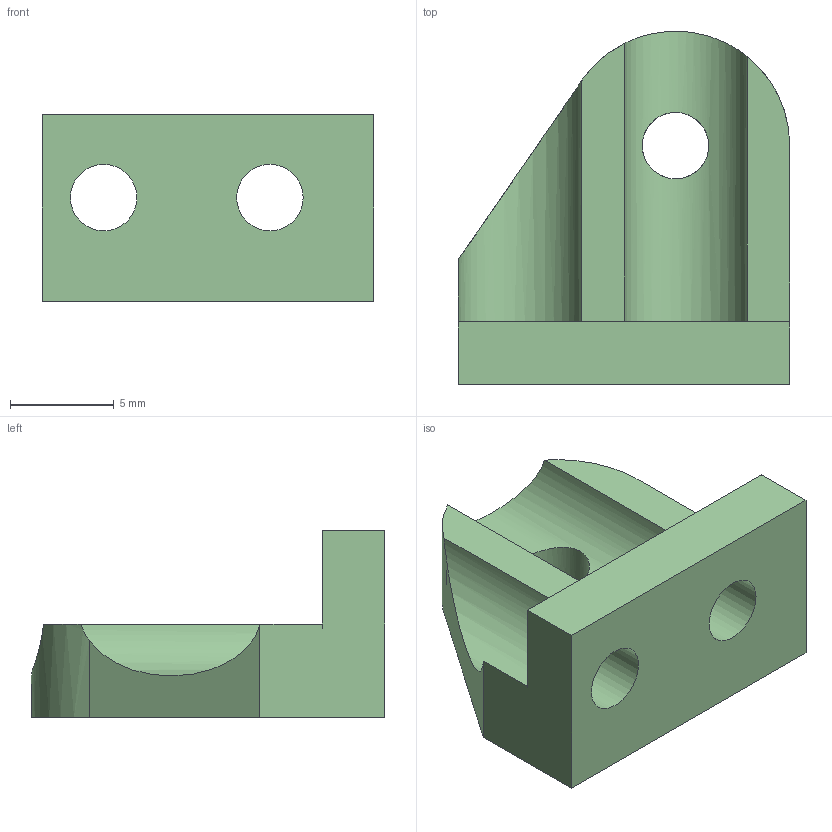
import cadquery as cq
import math

groove_radius = 3.0
groove_axis_z = 5.0
groove_axes_x = (0.0, 8.0)
hole_diameter = 3.2

base_height = 4.5
right_x = 13.0
corner_radius = 5.5
corner_x = right_x - corner_radius
corner_y = 11.5
left_side_length = 6.0
slant_end_y = 14.2

left_x = groove_axes_x[0] - math.sqrt(groove_radius**2 - (groove_axis_z - base_height) ** 2)

plate_thickness = 3.0
plate_height = 9.0


def make_base():
    slant_end_x = corner_x - math.sqrt(corner_radius**2 - (slant_end_y - corner_y) ** 2)
    return (
        cq.Workplane("XY")
        .moveTo(left_x, 0)
        .lineTo(right_x, 0)
        .lineTo(right_x, corner_y)
        .threePointArc((corner_x, corner_y + corner_radius), (slant_end_x, slant_end_y))
        .lineTo(left_x, left_side_length)
        .close()
        .extrude(base_height)
    )


def make_plate():
    return (
        cq.Workplane("XY")
        .box(right_x - left_x, plate_thickness, plate_height, centered=False)
        .translate((left_x, 0, 0))
    )


def cylinder_along_y(x, radius, start_y, end_y):
    return cq.Workplane("XZ", origin=(x, start_y, groove_axis_z)).circle(radius).extrude(start_y - end_y)


def make_base_hole():
    return (
        cq.Workplane("XY")
        .center(corner_x, corner_y)
        .circle(hole_diameter / 2)
        .extrude(base_height)
    )


def cut_grooves_and_plate_holes(body):
    back_y = corner_y + corner_radius
    for axis_x in groove_axes_x:
        body = body.cut(cylinder_along_y(axis_x, groove_radius, plate_thickness, back_y))
        body = body.cut(cylinder_along_y(axis_x, hole_diameter / 2, 0, plate_thickness))
    return body


body = make_base().union(make_plate()).cut(make_base_hole())
result = cut_grooves_and_plate_holes(body)